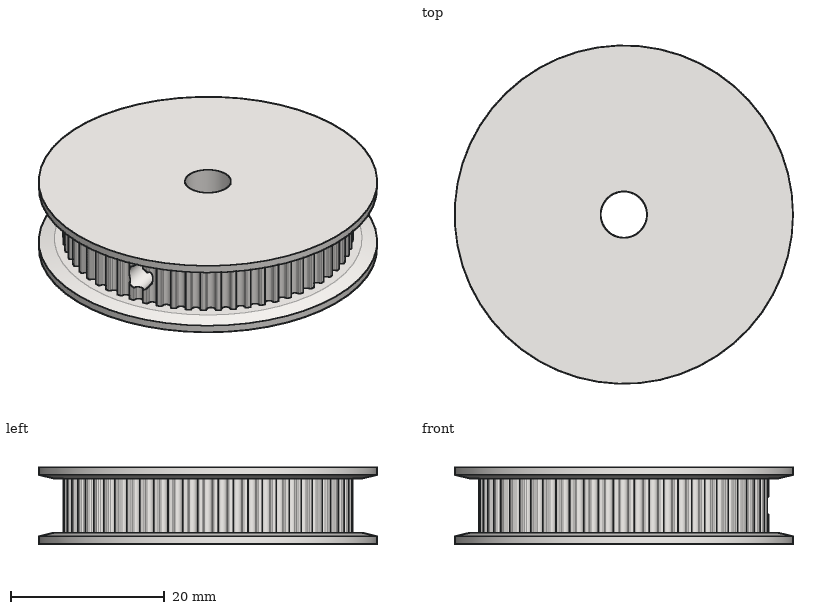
import cadquery as cq
import math

outer_diameter = 44.0
total_height = 10.0
bore_diameter = 6.0
set_screw_diameter = 3.5

rim_height = 1.0
flange_height = 1.5
flange_flat_diameter = 40.0

tooth_count = 60
tip_diameter = 37.7
groove_depth = 0.75
groove_root_radius = 0.55
groove_root_width = 1.0
groove_mouth_width = 1.5
tip_rounding = 0.15
mouth_clearance = 0.45

bore_radius = bore_diameter / 2
tip_radius = tip_diameter / 2
belt_width = total_height - 2 * flange_height


def flange():
    """Flange with its outer face on Z = 0 and its inner face bevelled towards the rim."""
    profile = [
        (bore_radius, 0),
        (outer_diameter / 2, 0),
        (outer_diameter / 2, rim_height),
        (flange_flat_diameter / 2, flange_height),
        (bore_radius, flange_height),
    ]
    return cq.Workplane("XZ").polyline(profile).close().revolve(360, (0, 0), (0, 1))


def belt_groove():
    """Cutter for the groove on the +X side: round root, curved walls and rounded tooth corners."""
    root_half_width = groove_root_width / 2
    mouth_half_width = groove_mouth_width / 2
    wall_half_width = mouth_half_width - tip_rounding
    mouth_x = math.sqrt(tip_radius**2 - mouth_half_width**2)
    wall_x = mouth_x - tip_rounding
    diagonal_reach = tip_rounding * math.cos(math.pi / 4)
    rounding_middle_x = wall_x + diagonal_reach
    rounding_middle_y = mouth_half_width - diagonal_reach
    root_x = tip_radius - groove_depth
    root_center_x = root_x + groove_root_radius
    root_end_x = root_center_x - math.sqrt(groove_root_radius**2 - root_half_width**2)
    outside_x = tip_radius + mouth_clearance
    half_groove = (
        cq.Workplane("XY")
        .workplane(offset=flange_height)
        .moveTo(root_x, 0)
        .radiusArc((root_end_x, root_half_width), groove_root_radius)
        .tangentArcPoint((wall_x, wall_half_width), relative=False)
        .threePointArc((rounding_middle_x, rounding_middle_y), (mouth_x, mouth_half_width))
        .lineTo(outside_x, mouth_half_width)
        .lineTo(outside_x, 0)
        .close()
        .extrude(belt_width)
    )
    return half_groove.union(half_groove.mirror("XZ")).clean()


def toothed_rim():
    """Ring between the flanges with belt grooves all round it."""
    rim = (
        cq.Workplane("XY")
        .workplane(offset=flange_height)
        .circle(tip_radius)
        .circle(bore_radius)
        .extrude(belt_width)
    )
    groove = belt_groove().val()
    axis_start = cq.Vector(0, 0, 0)
    axis_end = cq.Vector(0, 0, 1)
    grooves = [groove.rotate(axis_start, axis_end, i * 360 / tooth_count) for i in range(tooth_count)]
    return rim.cut(cq.Compound.makeCompound(grooves))


def set_screw_hole():
    """Cutter for the radial hole on the +X side, halfway up, from the bore out through the teeth."""
    return (
        cq.Workplane("YZ")
        .center(0, total_height / 2)
        .circle(set_screw_diameter / 2)
        .extrude(tip_radius)
    )


upper_flange = flange().mirror("XY").translate((0, 0, total_height))
pulley = upper_flange.union(toothed_rim()).cut(set_screw_hole())

retaining_flange = flange()

result = cq.Compound.makeCompound([pulley.val(), retaining_flange.val()])